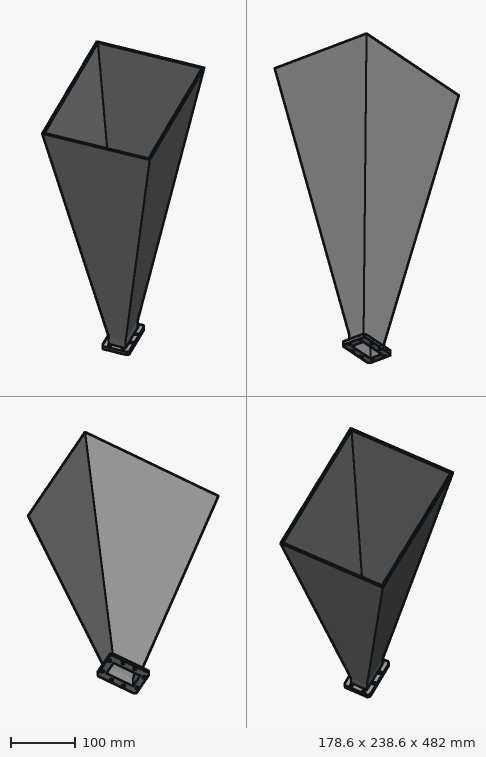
import cadquery as cq

total_height = 482.0
mouth_x = 178.59
mouth_y = 238.63
wall = 3.0

flange_x = 44.45
flange_y = 69.85
flange_thickness = 6.35
flange_corner_chamfer = 2.7

bore_x = 22.15
bore_y = 47.55
neck_x = bore_x + 2 * wall
neck_y = bore_y + 2 * wall
neck_length = 14.0
neck_top = flange_thickness + neck_length

hole_diameter = 4.3
hole_row_x = (neck_x + flange_x) / 4
hole_row_y = (neck_y + flange_y) / 4
long_side_hole_offset = 10.6
short_side_hole_offset = 11.2


def block(size_x, size_y, height):
    """Block centred on the horn axis, standing on the flange's mating face."""
    return cq.Workplane("XY").box(size_x, size_y, height, centered=(True, True, False))


def frustum(bottom_x, bottom_y, top_x, top_y):
    """Truncated pyramid from the top of the neck up to the mouth."""
    return (
        cq.Workplane("XY", origin=(0, 0, neck_top))
        .rect(bottom_x, bottom_y)
        .workplane(offset=total_height - neck_top)
        .rect(top_x, top_y)
        .loft(ruled=True)
    )


def flange():
    """Plate with chamfered corners and a ring of bolt holes around the neck."""
    plate = block(flange_x, flange_y, flange_thickness).edges("|Z").chamfer(flange_corner_chamfer)
    return (
        plate.faces(">Z")
        .workplane(origin=(0, 0, flange_thickness))
        .rect(2 * hole_row_x, 2 * long_side_hole_offset, forConstruction=True)
        .vertices()
        .hole(hole_diameter)
        .faces(">Z")
        .workplane(origin=(0, 0, flange_thickness))
        .rect(2 * short_side_hole_offset, 2 * hole_row_y, forConstruction=True)
        .vertices()
        .hole(hole_diameter)
    )


def outer_body():
    """Flange, neck and flare joined, before hollowing."""
    neck = block(neck_x, neck_y, neck_top)
    flare = frustum(neck_x, neck_y, mouth_x, mouth_y)
    return flange().union(neck).union(flare)


def passage():
    """Open passage: straight bore through the neck, then the flare's interior."""
    bore = block(bore_x, bore_y, neck_top)
    flare_interior = frustum(bore_x, bore_y, mouth_x - 2 * wall, mouth_y - 2 * wall)
    return bore.union(flare_interior)


result = outer_body().cut(passage())